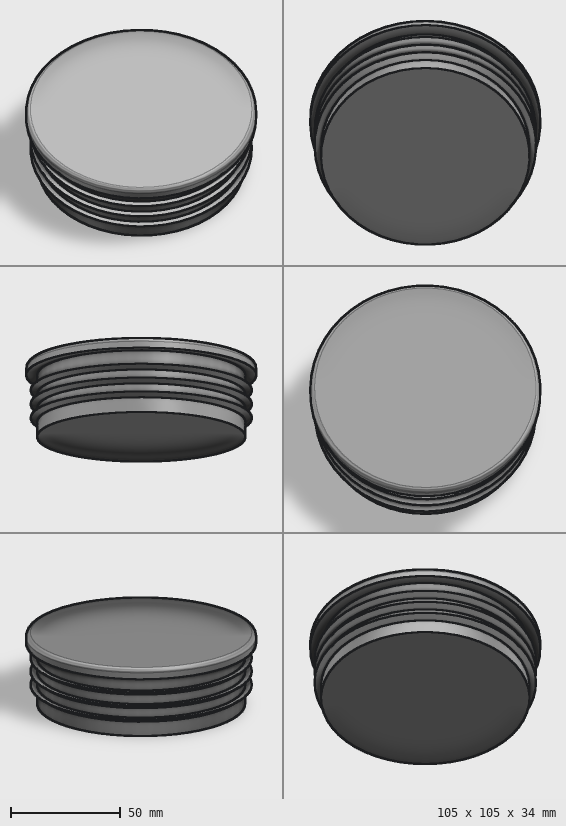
import cadquery as cq

total_height = 34.0
flange_diameter = 105.0
flange_thickness = 5.0
flange_rounding = 2.0

body_diameter = 95.0

fin_diameter = 101.0
fin_height = 2.0
fin_count = 3
fin_pitch = 6.5
lowest_fin_top = 8.9


def make_flange():
    """Round cap with a rounded upper edge."""
    return (
        cq.Workplane("XY")
        .workplane(offset=total_height - flange_thickness)
        .circle(flange_diameter / 2)
        .extrude(flange_thickness)
        .faces(">Z")
        .edges()
        .fillet(flange_rounding)
    )


def make_body():
    """Cylindrical plug that reaches up to the flange."""
    return cq.Workplane("XY").circle(body_diameter / 2).extrude(total_height - flange_thickness)


def make_fin(top):
    """Conical fin whose flat upper face lies at height top."""
    return (
        cq.Workplane("XY")
        .workplane(offset=top - fin_height)
        .circle(body_diameter / 2)
        .workplane(offset=fin_height)
        .circle(fin_diameter / 2)
        .loft(ruled=True)
    )


result = make_body().union(make_flange())
for index in range(fin_count):
    result = result.union(make_fin(lowest_fin_top + index * fin_pitch))